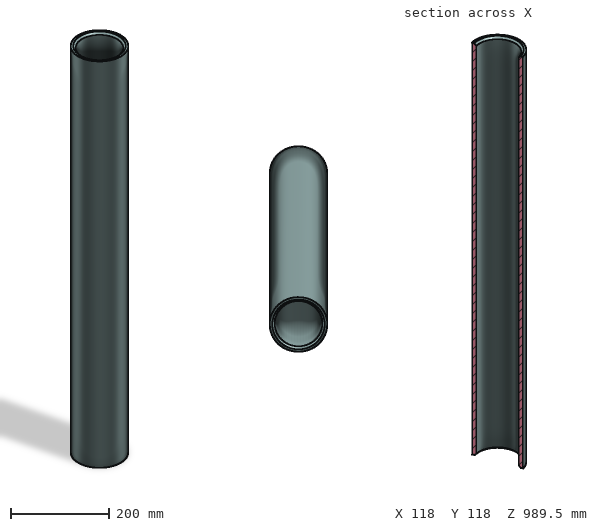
import cadquery as cq

length = 989.5
outer_diameter = 118.0
bore_diameter = 97.0
chamfer = 5.0
outer_radius = outer_diameter / 2
bore_radius = bore_diameter / 2
mouth_radius = bore_radius + chamfer

wall_section = (
    cq.Workplane("XZ")
    .moveTo(outer_radius, 0)
    .lineTo(outer_radius, length)
    .lineTo(mouth_radius, length)
    .lineTo(bore_radius, length - chamfer)
    .lineTo(bore_radius, chamfer)
    .lineTo(mouth_radius, 0)
    .close()
)

result = wall_section.revolve(360, (0, 0, 0), (0, 1, 0))